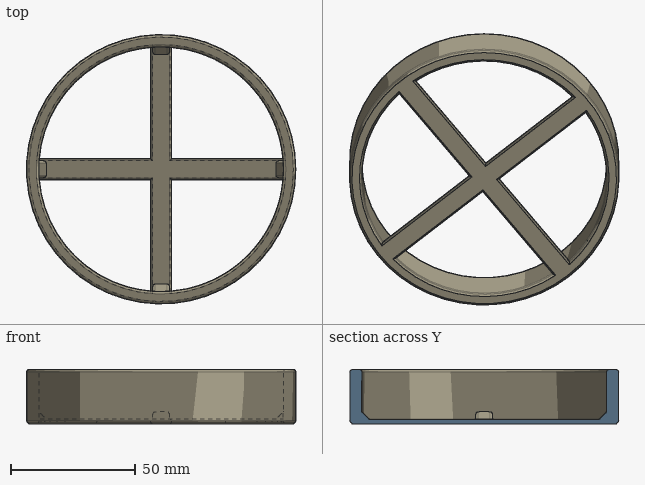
import cadquery as cq
import math

OUTER_DIAMETER = 108.5
INNER_DIAMETER = 98.5
RING_HEIGHT = 22.0
RIM_ROUNDING = 1.0
RING_CHAMFER = 1.0
OUTER_RADIUS = OUTER_DIAMETER / 2
INNER_RADIUS = INNER_DIAMETER / 2
WALL_THICKNESS = OUTER_RADIUS - INNER_RADIUS

BAR_WIDTH = 8.5
BAR_THICKNESS = 2.0
BAR_ROUNDING = 0.8
BAR_CHAMFER = 0.7
BAR_FLAT_WIDTH = BAR_WIDTH - 2 * BAR_ROUNDING
BAR_END_OVERLAP = WALL_THICKNESS / 2
BAR_LENGTH = INNER_DIAMETER + 2 * BAR_END_OVERLAP

GUSSET_COUNT = 4
GUSSET_SIZE = 3.0
GUSSET_ROUNDING = 1.0
GUSSET_WIDTH = BAR_FLAT_WIDTH
GUSSET_ROOT_DEPTH = BAR_THICKNESS / 2

CHAMFER_ANGLE = math.radians(45)
HALF_CHAMFER_ANGLE = CHAMFER_ANGLE / 2


def upright_section(left, right, height, rounding, chamfer):
    """Section with rounded top corners and bottom chamfers that blend into its sides.

    The blend radius equals the chamfer size.
    """
    blend_setback = chamfer * math.tan(HALF_CHAMFER_ANGLE)
    blend_top = chamfer + blend_setback
    blend_inset = blend_setback * math.sin(CHAMFER_ANGLE)
    blend_bottom = chamfer - blend_setback * math.cos(CHAMFER_ANGLE)
    blend_middle_inset = chamfer * (1 - math.cos(HALF_CHAMFER_ANGLE))
    blend_middle = blend_top - chamfer * math.sin(HALF_CHAMFER_ANGLE)

    rounding_start = height - rounding
    rounding_middle_inset = rounding * (1 - math.sqrt(0.5))
    rounding_middle = height - rounding_middle_inset

    return (
        cq.Workplane("XZ")
        .moveTo(left + chamfer, 0)
        .lineTo(right - chamfer, 0)
        .lineTo(right - blend_inset, blend_bottom)
        .threePointArc((right - blend_middle_inset, blend_middle), (right, blend_top))
        .lineTo(right, rounding_start)
        .threePointArc((right - rounding_middle_inset, rounding_middle), (right - rounding, height))
        .lineTo(left + rounding, height)
        .threePointArc((left + rounding_middle_inset, rounding_middle), (left, rounding_start))
        .lineTo(left, blend_top)
        .threePointArc((left + blend_middle_inset, blend_middle), (left + blend_inset, blend_bottom))
        .close()
    )


def turn_about_z(body, angle):
    return body.rotate((0, 0, 0), (0, 0, 1), angle)


def make_ring():
    """Revolve the wall section about Z."""
    section = upright_section(INNER_RADIUS, OUTER_RADIUS, RING_HEIGHT, RIM_ROUNDING, RING_CHAMFER)
    return section.revolve(360, (0, 0, 0), (0, 1, 0))


def make_cross():
    """Two crossed bars with shaped long edges; their ends are buried in the ring wall."""
    section = upright_section(-BAR_WIDTH / 2, BAR_WIDTH / 2, BAR_THICKNESS, BAR_ROUNDING, BAR_CHAMFER)
    bar_along_y = section.extrude(BAR_LENGTH / 2, both=True)
    bar_along_x = turn_about_z(bar_along_y, 90)
    return bar_along_y.union(bar_along_x)


def make_gusset():
    """45 degree wedge on the +X bar end, rounded along both sides of its slope.

    It starts inside the bar and ends inside the ring wall.
    """
    base = BAR_THICKNESS - GUSSET_ROOT_DEPTH
    toe = INNER_RADIUS - GUSSET_SIZE - GUSSET_ROOT_DEPTH
    heel = INNER_RADIUS + BAR_END_OVERLAP
    wedge_size = heel - toe
    wedge = (
        cq.Workplane("XZ")
        .polyline([(toe, base), (heel, base), (heel, base + wedge_size)])
        .close()
        .extrude(GUSSET_WIDTH / 2, both=True)
    )
    sloped_edges = "not (|X or |Y or |Z)"
    return wedge.edges(sloped_edges).fillet(GUSSET_ROUNDING)


result = make_ring().union(make_cross())
gusset = make_gusset()
for index in range(GUSSET_COUNT):
    result = result.union(turn_about_z(gusset, index * 360 / GUSSET_COUNT))